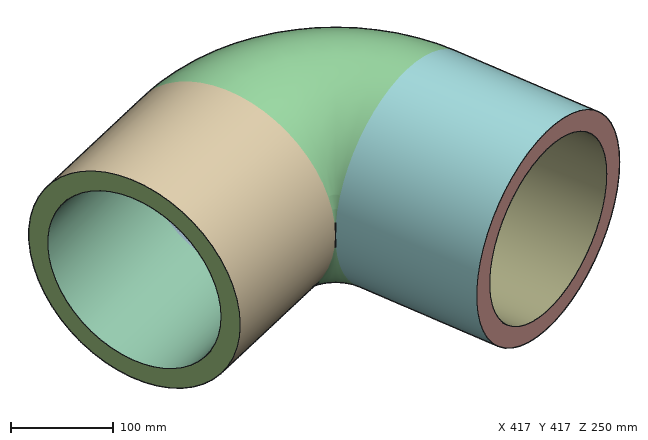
import cadquery as cq

overall_length = 417.0
outer_diameter = 250.0
bore_diameter = 204.7

bend_radius = outer_diameter / 2
leg_length = overall_length - outer_diameter
quarter_turn = 90


def elbow(diameter):
    """Solid 90 degree elbow: a leg along -Y, a bend about the Z axis and a leg along +X."""
    radius = diameter / 2
    front_leg = cq.Workplane("XZ").center(-bend_radius, 0).circle(radius).extrude(leg_length)
    side_leg = cq.Workplane("YZ").center(bend_radius, 0).circle(radius).extrude(leg_length)
    bend = (
        cq.Workplane("XZ")
        .center(-bend_radius, 0)
        .circle(radius)
        .revolve(quarter_turn, (bend_radius, 0), (bend_radius, -1))
    )
    return bend.union(front_leg).union(side_leg)


result = elbow(outer_diameter).cut(elbow(bore_diameter))